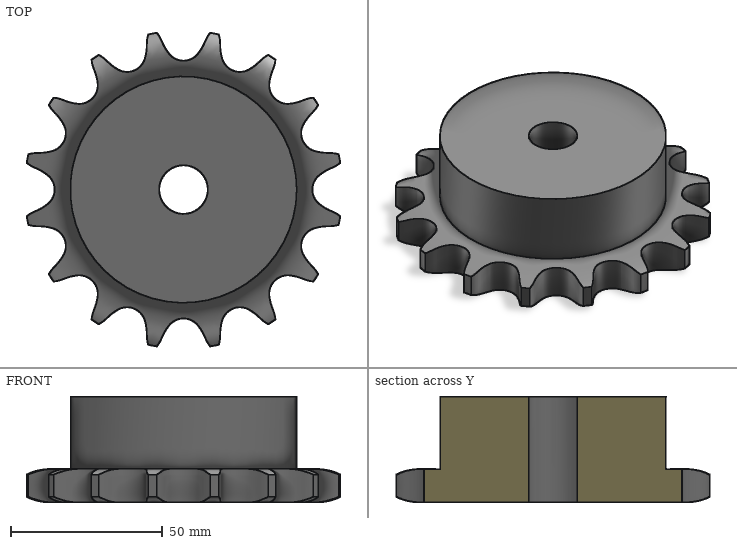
import cadquery as cq
import math

TEETH = 16
CHAIN_PITCH = 19.05
ROLLER_DIAMETER = 12.1
SEAT_CLEARANCE = 0.04
TIP_RADIUS = 52.7
DISC_THICKNESS = 11.1
TOTAL_HEIGHT = 35.0
HUB_DIAMETER = 75.0
BORE_DIAMETER = 16.0
RELIEF_START_RADIUS = 44.2
RELIEF_ARC_RADIUS = 20.3

TOOTH_ANGLE = 360 / TEETH
HALF_TOOTH = math.radians(TOOTH_ANGLE / 2)
PITCH_RADIUS = CHAIN_PITCH / 2 / math.sin(HALF_TOOTH)
SEAT_RADIUS = 1.005 * ROLLER_DIAMETER / 2 + SEAT_CLEARANCE
SEAT_END_ANGLE = math.radians(35 + 60 / TEETH)
WORKING_ARC_SWEEP = math.radians(18 - 56 / TEETH)
TOPPING_ANGLE = math.radians(17 - 64 / TEETH)
WORKING_CENTER_OFFSET = 0.8 * ROLLER_DIAMETER
TOPPING_CENTER_OFFSET = 1.4 * ROLLER_DIAMETER
WORKING_RADIUS = WORKING_CENTER_OFFSET + SEAT_RADIUS
FLANK_LENGTH = (TOPPING_CENTER_OFFSET * math.sin(TOPPING_ANGLE)
                - WORKING_CENTER_OFFSET * math.sin(WORKING_ARC_SWEEP))
TOPPING_RADIUS = (WORKING_CENTER_OFFSET * math.cos(WORKING_ARC_SWEEP)
                  + TOPPING_CENTER_OFFSET * math.cos(TOPPING_ANGLE) - WORKING_RADIUS)
CUT_MARGIN = 2.1


def polar(center, radius, angle):
    return (center[0] + radius * math.cos(angle), center[1] + radius * math.sin(angle))


def mirrored(point):
    return (-point[0], point[1])


def tooth_gap():
    """Cutter for the gap on +Y; flank points are found on its right side and mirrored."""
    seat_center = (0, PITCH_RADIUS)
    seat_bottom = (0, PITCH_RADIUS - SEAT_RADIUS)
    seat_end = polar(seat_center, SEAT_RADIUS, -SEAT_END_ANGLE)

    working_center = polar(seat_center, WORKING_CENTER_OFFSET, math.pi - SEAT_END_ANGLE)
    flank_angle = WORKING_ARC_SWEEP - SEAT_END_ANGLE
    working_mid = polar(working_center, WORKING_RADIUS, flank_angle - WORKING_ARC_SWEEP / 2)
    working_end = polar(working_center, WORKING_RADIUS, flank_angle)

    flank_end = polar(working_end, FLANK_LENGTH, flank_angle + math.pi / 2)
    topping_center = polar(flank_end, TOPPING_RADIUS, flank_angle)
    gap_top = TIP_RADIUS + CUT_MARGIN
    topping_end_angle = math.pi - math.asin((gap_top - topping_center[1]) / TOPPING_RADIUS)
    topping_start_angle = flank_angle + math.pi
    topping_mid = polar(topping_center, TOPPING_RADIUS, (topping_start_angle + topping_end_angle) / 2)
    topping_end = polar(topping_center, TOPPING_RADIUS, topping_end_angle)

    return (
        cq.Workplane("XY")
        .moveTo(*mirrored(seat_end))
        .threePointArc(seat_bottom, seat_end)
        .threePointArc(working_mid, working_end)
        .lineTo(*flank_end)
        .threePointArc(topping_mid, topping_end)
        .lineTo(*mirrored(topping_end))
        .threePointArc(mirrored(topping_mid), mirrored(flank_end))
        .lineTo(*mirrored(working_end))
        .threePointArc(mirrored(working_mid), mirrored(seat_end))
        .close()
        .extrude(DISC_THICKNESS)
    )


def relief_depth(radius):
    """Depth of the rounded tooth side below the disc face at a given radius."""
    reach = radius - RELIEF_START_RADIUS
    return RELIEF_ARC_RADIUS - math.sqrt(RELIEF_ARC_RADIUS**2 - reach**2)


def disc_blank():
    """Toothless disc whose rim narrows along an arc on both faces."""
    mid_radius = (RELIEF_START_RADIUS + TIP_RADIUS) / 2
    mid_depth = relief_depth(mid_radius)
    tip_depth = relief_depth(TIP_RADIUS)
    return (
        cq.Workplane("XZ")
        .lineTo(RELIEF_START_RADIUS, 0)
        .threePointArc((mid_radius, mid_depth), (TIP_RADIUS, tip_depth))
        .lineTo(TIP_RADIUS, DISC_THICKNESS - tip_depth)
        .threePointArc((mid_radius, DISC_THICKNESS - mid_depth), (RELIEF_START_RADIUS, DISC_THICKNESS))
        .lineTo(0, DISC_THICKNESS)
        .close()
        .revolve(360, (0, 0), (0, 1))
    )


sprocket = disc_blank()
gap = tooth_gap()
for index in range(TEETH):
    sprocket = sprocket.cut(gap.rotate((0, 0, 0), (0, 0, 1), index * TOOTH_ANGLE))

hub = cq.Workplane("XY").circle(HUB_DIAMETER / 2).extrude(TOTAL_HEIGHT)
bore = cq.Workplane("XY").circle(BORE_DIAMETER / 2).extrude(TOTAL_HEIGHT)
result = sprocket.union(hub).cut(bore)